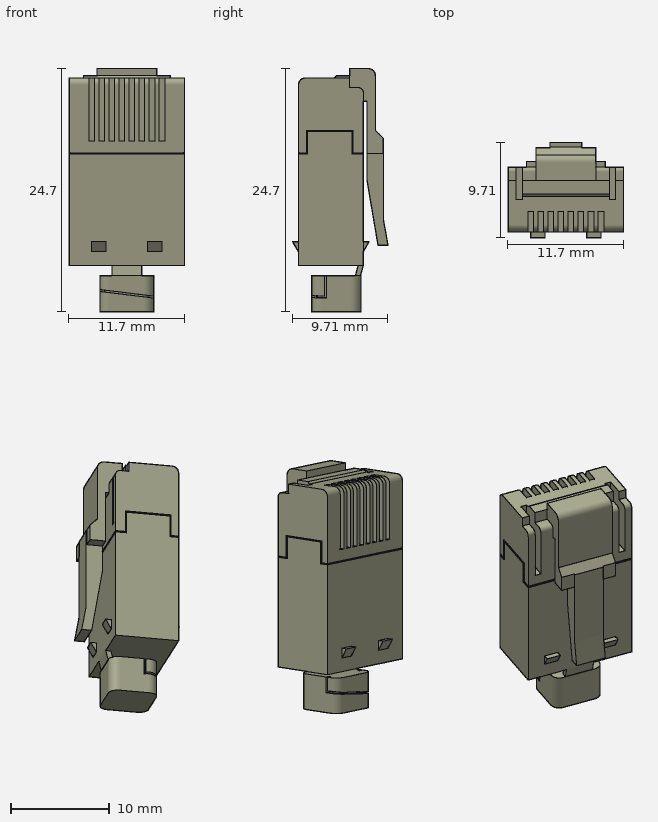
import cadquery as cq


body_width = 11.7
body_depth = 6.6
body_bottom = 4.7
body_top = 23.74
front_round = 0.72
half_width = body_width / 2

step_front = 5.2
step_floor = 22.75
step_round = 0.5

contact_count = 8
contact_span = 7.15
contact_pitch = contact_span / (contact_count - 1)
contact_width = 0.57
contact_depth = 2.07
contact_floor = 17.31

guide_inner = 4.42
guide_width = 0.65
guide_front = 3.29
bar_front = 3.63
bar_height = 0.22

seam_width = 0.1
seam_depth = 0.1
seam_level = 16.03
tongue_front = 0.86
tongue_rear = 5.48
tongue_top = 18.33

latch_width = 6.08
latch_top = 24.7
latch_round = 0.75
latch_outer = 7.83
latch_inner = 6.97
bridge_bottom = 21.37
slope_top = 18.4
shoulder_outer = 8.57
shoulder_bottom = 16.05
lever_width = 3.24
lever_outer = 8.65
lever_outer_bend = 9.34
lever_inner_bend = 13.3
lever_bottom = 6.75
tip_outer = 9.11
tip_inner = 8.08

barb_width = 1.48
barb_height = 1.01
barb_reach = 0.6
barb_root = 0.25
barb_top = 7.11
front_barb_x = 2.85
rear_barb_x = 3.25

strap_width = 3.06
strap_thickness = 0.55
strap_shift = 0.27
clamp_width = 5.48
clamp_front = 1.35
clamp_depth = 5.01
clamp_height = 3.68
clamp_round = 1.0

slit_depth = 0.5
slit_height = 0.2
slit_middle = 1.83
slit_fall = 0.67
slit_rear = 2.87
slit_width = 0.2


def box(x0, x1, y0, y1, z0, z1):
    """Box between two opposite corners."""
    return cq.Workplane("XY").box(x1 - x0, y1 - y0, z1 - z0, centered=False).translate((x0, y0, z0))


def side_profile(points, width, center_x=0):
    """Closed (Y, Z) outline extruded along X, centred on center_x."""
    flat = cq.Workplane("YZ").polyline(points).close()
    return flat.extrude(width / 2, both=True).translate((center_x, 0, 0))


def make_housing():
    housing = box(-half_width, half_width, 0, body_depth, body_bottom, body_top)
    housing = housing.faces("<Y").edges(">Z").fillet(front_round)
    housing = housing.cut(box(-half_width, half_width, step_front, body_depth, step_floor, body_top))
    return housing.faces(">Y").edges(">Z").fillet(step_round)


def make_raised_bar():
    bar_top = body_top + bar_height
    outline = [
        (bar_front, body_top),
        (bar_front + bar_height, bar_top),
        (step_front, bar_top),
        (step_front, body_top - bar_height),
        (bar_front, body_top - bar_height),
    ]
    return side_profile(outline, 2 * guide_inner)


def make_contact_slots():
    slots = cq.Workplane("XY")
    first_x = -contact_span / 2
    for index in range(contact_count):
        left = first_x + index * contact_pitch - contact_width / 2
        slots = slots.add(box(left, left + contact_width, 0, contact_depth, contact_floor, body_top))
    return slots.combine()


def make_guide_slots():
    guide_outer = guide_inner + guide_width
    right = box(guide_inner, guide_outer, guide_front, body_depth, contact_floor, latch_top)
    return right.union(right.mirror("YZ"))


def make_seam():
    """Shallow groove around the housing that rises over a tongue on both sides."""
    half_gap = seam_width / 2
    seam_top = seam_level + seam_width
    band = box(-half_width, half_width, 0, body_depth, seam_level, seam_top)
    band = band.union(
        box(-half_width, half_width, tongue_front - half_gap, tongue_rear + half_gap,
            seam_level, tongue_top + half_gap)
    )
    band = band.cut(
        box(-half_width, half_width, tongue_front + half_gap, tongue_rear - half_gap,
            body_bottom, tongue_top - half_gap)
    )
    core = box(-half_width + seam_depth, half_width - seam_depth, seam_depth, body_depth - seam_depth,
               body_bottom, body_top)
    return band.cut(core)


def make_latch():
    slope_run = shoulder_outer - latch_outer
    shoulder = [
        (step_front, step_floor),
        (step_front, latch_top),
        (latch_outer, latch_top),
        (latch_outer, slope_top),
        (shoulder_outer, slope_top - slope_run),
        (shoulder_outer, shoulder_bottom),
        (latch_inner, shoulder_bottom),
        (latch_inner, bridge_bottom),
        (body_depth - step_round, bridge_bottom),
        (body_depth - step_round, step_floor),
    ]
    hook = side_profile(shoulder, latch_width)
    hook = hook.edges(cq.selectors.NearestToPointSelector((0, latch_outer, latch_top))).fillet(latch_round)
    lever = [
        (latch_inner, slope_top),
        (latch_outer, slope_top),
        (lever_outer, slope_top - (lever_outer - latch_outer)),
        (lever_outer, lever_outer_bend),
        (tip_outer, lever_bottom),
        (tip_inner, lever_bottom),
        (latch_inner, lever_inner_bend),
    ]
    return hook.union(side_profile(lever, lever_width))


def make_barbs():
    barbs = cq.Workplane("XY")
    barb_bottom = barb_top - barb_height
    for face_y, outward, offset_x in ((0, -1, front_barb_x), (body_depth, 1, rear_barb_x)):
        root_y = face_y - outward * barb_root
        outline = [
            (root_y, barb_top),
            (face_y + outward * barb_reach, barb_top),
            (face_y, barb_bottom),
            (root_y, barb_bottom),
        ]
        for side in (-1, 1):
            barbs = barbs.add(side_profile(outline, barb_width, side * offset_x))
    return barbs.combine()


def make_strap():
    outline = [
        (body_depth, body_bottom),
        (body_depth - strap_thickness, body_bottom),
        (body_depth - strap_thickness - strap_shift, clamp_height),
        (body_depth - strap_shift, clamp_height),
    ]
    return side_profile(outline, strap_width)


def make_clamp_block(inset):
    half = clamp_width / 2 - inset
    block = box(-half, half, clamp_front + inset, clamp_front + clamp_depth - inset, 0, clamp_height)
    return block.edges("|Z").fillet(clamp_round - inset)


def make_clamp():
    half = clamp_width / 2
    left_z = slit_middle + slit_fall / 2
    right_z = slit_middle - slit_fall / 2
    sloped_ends = [
        (-half, left_z + slit_height / 2),
        (half, right_z + slit_height / 2),
        (half, right_z - slit_height / 2),
        (-half, left_z - slit_height / 2),
    ]
    slit = cq.Workplane("XZ").polyline(sloped_ends).close().extrude(-slit_rear)
    for x0, x1, bottom in ((-half, 0, left_z), (0, half, right_z)):
        slit = slit.union(box(x0, x1, slit_rear - slit_width, slit_rear, bottom, clamp_height))
    slit = slit.cut(make_clamp_block(slit_depth))
    return make_clamp_block(0).cut(slit)


housing = make_housing().union(make_raised_bar())
housing = housing.cut(make_contact_slots()).cut(make_guide_slots()).cut(make_seam())
result = housing.union(make_latch()).union(make_barbs()).union(make_strap()).union(make_clamp())